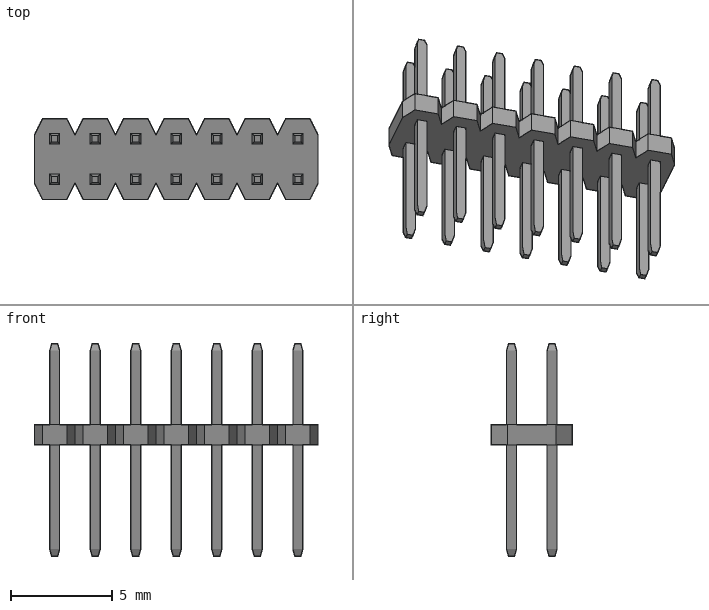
import cadquery as cq

columns = 7
rows = 2
pitch = 2.0

body_length = columns * pitch
body_width = rows * pitch
body_height = 1.0
notch_half_width = 0.4
notch_depth = 0.8

pin_side = 0.5
pin_above_body = 4.0
pin_below_body = 5.5
tip_length = 0.35
tip_side = 0.3


def edge_points():
    """Points along the +Y edge, from -X to +X, dipping at each end and between columns."""
    edge_y = body_width / 2
    points = []
    for column in range(columns):
        left = column * pitch - body_length / 2
        right = left + pitch
        points.append((left, edge_y - notch_depth))
        points.append((left + notch_half_width, edge_y))
        points.append((right - notch_half_width, edge_y))
    points.append((body_length / 2, edge_y - notch_depth))
    return points


def make_body():
    """Plate with V notches between columns and the same slope at the four corners."""
    back_edge = edge_points()
    front_edge = [(-x, -y) for x, y in back_edge]
    return cq.Workplane("XY").polyline(back_edge + front_edge).close().extrude(body_height)


def make_tip(base_z, direction):
    """Pyramid frustum narrowing away from base_z; direction is +1 for up, -1 for down."""
    return (
        cq.Workplane("XY", origin=(0, 0, base_z))
        .rect(pin_side, pin_side)
        .workplane(offset=direction * tip_length)
        .rect(tip_side, tip_side)
        .loft(ruled=True)
    )


def make_pin():
    """One pin on the Z axis, passing through the body height."""
    shaft_bottom = tip_length - pin_below_body
    shaft_top = body_height + pin_above_body - tip_length
    shaft = (
        cq.Workplane("XY", origin=(0, 0, shaft_bottom))
        .rect(pin_side, pin_side)
        .extrude(shaft_top - shaft_bottom)
    )
    return shaft.union(make_tip(shaft_top, 1)).union(make_tip(shaft_bottom, -1))


result = make_body()
pin = make_pin()
for column in range(columns):
    for row in range(rows):
        pin_x = (column + 0.5) * pitch - body_length / 2
        pin_y = (row + 0.5) * pitch - body_width / 2
        result = result.union(pin.translate((pin_x, pin_y, 0)))